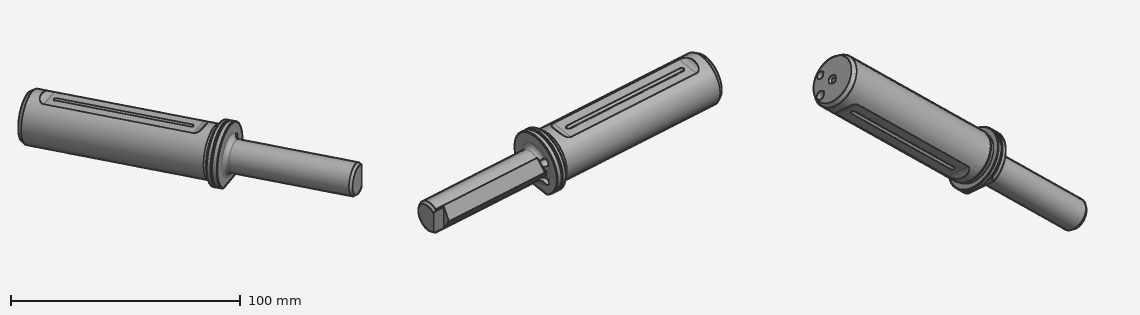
import cadquery as cq
import math

total_length = 155.0
undercut_start = 87.4
undercut_floor_start = 88.4
flange_start = 89.7
flange_end = 94.9

body_radius = 12.5
undercut_radius = 12.1
flange_radius = 15.0
shank_radius = 7.6

body_chamfer_length = 2.0
body_chamfer_depth = 1.2
flange_chamfer = 0.3
shank_fillet = 2.3
shank_chamfer_length = 1.4
shank_chamfer_depth = 1.0

rim_groove_center = 92.0
rim_groove_depth = 0.5
rim_groove_half_width = 0.5
rim_flat_start = rim_groove_center
rim_flat_height = body_radius

grip_start = 9.9
grip_end = 80.0
grip_height = 11.0
grip_end_radius = 4.3

slot_start = 12.2
slot_end = 77.7
slot_radius = 1.1

hole_offset_y = 7.1
hole_offset_z = 5.1
upper_hole_radius = 1.9
lower_hole_radius = 2.2
center_hole_radius = 1.2
center_hole_depth = 7.8
countersink_radius = 2.2
drill_tip_half_angle = 59

shank_flat_tilt = 30
shank_flat_distance = shank_radius * math.cos(math.radians(shank_flat_tilt))
flat_ridge_start = 95.6
flat_outer_start = 97.0
tip_step_start = 149.3
tip_step_height = 4.2


def turned_blank():
    """Revolve the handle, undercut, flange and shank about the X axis."""
    outline = (
        cq.Workplane("XY")
        .moveTo(0, 0)
        .lineTo(0, body_radius - body_chamfer_depth)
        .lineTo(body_chamfer_length, body_radius)
        .lineTo(undercut_start, body_radius)
        .lineTo(undercut_floor_start, undercut_radius)
        .lineTo(flange_start, undercut_radius)
        .lineTo(flange_start, flange_radius - flange_chamfer)
        .lineTo(flange_start + flange_chamfer, flange_radius)
        .lineTo(rim_groove_center - rim_groove_half_width, flange_radius)
        .lineTo(rim_groove_center, flange_radius - rim_groove_depth)
        .lineTo(rim_groove_center + rim_groove_half_width, flange_radius)
        .lineTo(flange_end - flange_chamfer, flange_radius)
        .lineTo(flange_end, flange_radius - flange_chamfer)
        .lineTo(flange_end, shank_radius + shank_fillet)
        .radiusArc((flange_end + shank_fillet, shank_radius), -shank_fillet)
        .lineTo(total_length - shank_chamfer_length, shank_radius)
        .lineTo(total_length, shank_radius - shank_chamfer_depth)
        .lineTo(total_length, 0)
        .close()
    )
    return outline.revolve(360, (0, 0, 0), (1, 0, 0))


def box_between(x_range, y_range, z_range):
    """Make a box from its limits along each axis."""
    lows, highs = zip(x_range, y_range, z_range)
    size = [high - low for low, high in zip(lows, highs)]
    return cq.Workplane("XY").box(*size, centered=False).translate(lows)


def x_cylinder(start, end, radius, y=0, z=0):
    """Make a cylinder parallel to X."""
    return cq.Workplane("YZ", origin=(start, y, z)).circle(radius).extrude(end - start)


def grip_flat():
    """Cutter for the upper grip flat, with concave arcs at both ends."""
    rise = body_radius - grip_height
    run = math.sqrt(grip_end_radius**2 - (grip_end_radius - rise) ** 2)
    profile = (
        cq.Workplane("XZ")
        .moveTo(grip_start, grip_height)
        .lineTo(grip_end, grip_height)
        .radiusArc((grip_end + run, body_radius), -grip_end_radius)
        .lineTo(grip_start - run, body_radius)
        .radiusArc((grip_start, grip_height), -grip_end_radius)
        .close()
    )
    return profile.extrude(body_radius, both=True)


def grip_slot():
    """Cutter for the round-bottomed groove with ball ends in the upper flat."""
    first_ball = slot_start + slot_radius
    last_ball = slot_end - slot_radius
    cutter = x_cylinder(first_ball, last_ball, slot_radius, z=grip_height)
    for x in (first_ball, last_ball):
        ball = cq.Workplane("XY").sphere(slot_radius).translate((x, 0, grip_height))
        cutter = cutter.union(ball)
    return cutter


def center_hole():
    """Cutter for the countersunk blind hole with a drill-point bottom."""
    tip_depth = center_hole_radius / math.tan(math.radians(drill_tip_half_angle))
    outline = (
        cq.Workplane("XY")
        .moveTo(0, 0)
        .lineTo(0, countersink_radius)
        .lineTo(countersink_radius - center_hole_radius, center_hole_radius)
        .lineTo(center_hole_depth, center_hole_radius)
        .lineTo(center_hole_depth + tip_depth, 0)
        .close()
    )
    return outline.revolve(360, (0, 0, 0), (1, 0, 0))


def shank_flat():
    """Cutter for the upper shank flat, starting at an oblique shoulder next to the flange."""
    half_width = shank_radius * math.sin(math.radians(shank_flat_tilt))
    run_out_slope = (flat_outer_start - flat_ridge_start) / (2 * half_width)
    middle_start = (flat_outer_start + flat_ridge_start) / 2
    overhang = run_out_slope * shank_radius
    profile = (
        cq.Workplane("XZ", origin=(0, shank_flat_distance, 0))
        .moveTo(middle_start - overhang, -shank_radius)
        .lineTo(total_length, -shank_radius)
        .lineTo(total_length, shank_radius)
        .lineTo(middle_start + overhang, shank_radius)
        .close()
    )
    return profile.extrude(-shank_radius).rotate((0, 0, 0), (1, 0, 0), shank_flat_tilt)


result = turned_blank()

result = result.cut(
    box_between(
        (rim_flat_start, flange_end),
        (-flange_radius, flange_radius),
        (-flange_radius, -rim_flat_height),
    )
)

for turn in (0, 180):
    for cutter in (grip_flat(), grip_slot()):
        result = result.cut(cutter.rotate((0, 0, 0), (1, 0, 0), turn))

for radius, z in ((upper_hole_radius, hole_offset_z), (lower_hole_radius, -hole_offset_z)):
    result = result.cut(x_cylinder(0, flat_outer_start, radius, hole_offset_y, z))
result = result.cut(center_hole())

upper_shank_flat = shank_flat()
for cutter in (upper_shank_flat, upper_shank_flat.mirror("XY")):
    result = result.cut(cutter)

result = result.cut(
    box_between(
        (tip_step_start, total_length),
        (tip_step_height, shank_radius),
        (-shank_radius, shank_radius),
    )
)